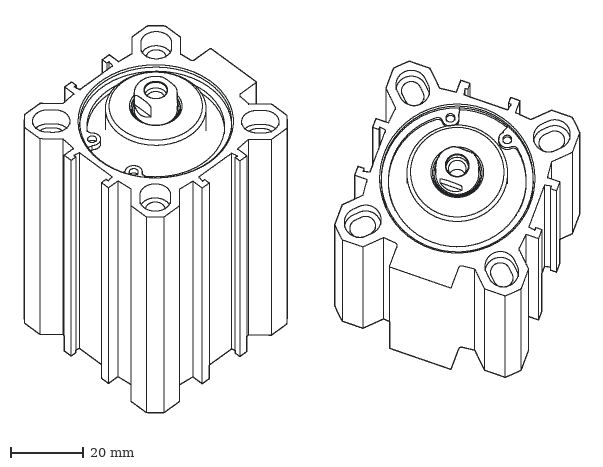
import cadquery as cq
import math

TOTAL_HEIGHT = 92.0
HOUSING_HEIGHT = 79.3

LUG_REACH = 27.5
LUG_FLAT_START = 17.9
LUG_FLAT_END = 24.0
LUG_ROOT = 13.4
WALL_AT_LUG = 23.0
WALL_AT_RIB = 23.5
RIB_REACH = 27.1
RIB_OVERLAP = 0.9
RIB_OUTER_SIDE = 8.7
RIB_ROOT_INNER_SIDE = 6.4
RIB_NECK_INNER_SIDE = 6.8
HOOK_INNER_SIDE = 6.0
HOOK_START = 25.3
PORT_HALF_WIDTH = 9.1
PORT_REACH = 30.45
PORT_ROOT_FILLET = 0.8
PORT_CORNER_FILLET = 0.3

BOLT_OFFSET = 20.5
BOLT_SLOT_STRETCH = 1.8
BOLT_HOLE_DIAMETER = 5.4
COUNTERBORE_DIAMETER = 8.6
COUNTERBORE_DEPTH = 5.7

BORE_DIAMETER = 42.2
BORE_CHAMFER = 0.5
RING_TOP_DEPTH = 2.1
RING_THICKNESS = 1.75
RING_OUTER_DIAMETER = 44.7
RING_INNER_DIAMETER = 38.3
RING_EAR_RADIUS = 2.4
RING_EAR_HOLE_DIAMETER = 2.5
RING_EAR_HOLE_DISTANCE = 18.3
RING_EAR_ANGLE = 27.6
RING_EAR_FILLET = 1.4
RING_TURN = -1.9
COVER_DEPTH = 11.0
BOSS_DIAMETER = 28.0
BOSS_TOP = 85.5
BOSS_CHAMFER = 1.0
BOSS_ROOT_FILLET = 0.8
ROD_HOLE_RECESS_DIAMETER = 13.7
ROD_HOLE_RECESS_CHAMFER = 0.5
ROD_HOLE_RECESS_DEPTH = 1.0
ROD_HOLE_CHAMFER = 0.5

ROD_DIAMETER = 12.0
ROD_TIP_FILLET = 1.3
FLATS_WIDTH = 10.0
FLATS_LENGTH = 4.6
TIP_RECESS_DIAMETER = 6.3
TIP_RECESS_DEPTH = 2.5
TIP_RECESS_CHAMFER = 0.2
TIP_HOLE_DIAMETER = 4.9
TIP_HOLE_DEPTH = 12.0
DRILL_POINT_ANGLE = 160.0

RING_TOP = HOUSING_HEIGHT - RING_TOP_DEPTH
COVER_TOP = RING_TOP - RING_THICKNESS
COVER_BOTTOM = COVER_TOP - COVER_DEPTH

SELECTION_MARGIN = 0.1


def disc(diameter, bottom, top):
    """Upright cylinder on the axis."""
    return cq.Workplane("XY").workplane(offset=bottom).circle(diameter / 2).extrude(top - bottom)


def cone_cutter(wide_diameter, narrow_diameter, top):
    """45-degree countersink cutter whose wide end is at the given level."""
    depth = (wide_diameter - narrow_diameter) / 2
    cone = cq.Solid.makeCone(narrow_diameter / 2, wide_diameter / 2, depth, cq.Vector(0, 0, top - depth))
    return cq.Workplane(obj=cone)


def edge_box(low, high):
    """Selector for the edges centred in a box, with a little play."""
    return cq.selectors.BoxSelector(
        tuple(value - SELECTION_MARGIN for value in low),
        tuple(value + SELECTION_MARGIN for value in high),
    )


def rotated(point, quarter_turns):
    """Point turned about the axis by a number of quarter turns."""
    x, y = point
    for _ in range(quarter_turns):
        x, y = -y, x
    return x, y


def core_section():
    """Square section with four diagonal corner lugs, without ribs and port block."""
    corner_middle = math.hypot(LUG_REACH, LUG_FLAT_END) / math.sqrt(2)
    outline = cq.Workplane("XY").moveTo(LUG_ROOT, -WALL_AT_LUG)
    quarter = [
        ("line", (LUG_FLAT_START, -LUG_REACH)),
        ("line", (LUG_FLAT_END, -LUG_REACH)),
        ("arc", (corner_middle, -corner_middle), (LUG_REACH, -LUG_FLAT_END)),
        ("line", (LUG_REACH, -LUG_FLAT_START)),
        ("line", (WALL_AT_LUG, -LUG_ROOT)),
        ("line", (WALL_AT_RIB, -RIB_OUTER_SIDE)),
        ("line", (WALL_AT_RIB, RIB_OUTER_SIDE)),
        ("line", (WALL_AT_LUG, LUG_ROOT)),
    ]
    for turn in range(4):
        for kind, *points in quarter:
            placed = [rotated(point, turn) for point in points]
            outline = outline.lineTo(*placed[0]) if kind == "line" else outline.threePointArc(*placed)
    return outline.close()


def hooked_rib():
    """Rib on the -Y side at +X, with its hook pointing to the middle of the side."""
    inside_wall = WALL_AT_LUG - RIB_OVERLAP
    return (
        cq.Workplane("XY")
        .polyline([
            (RIB_OUTER_SIDE, -inside_wall),
            (RIB_OUTER_SIDE, -RIB_REACH),
            (HOOK_INNER_SIDE, -RIB_REACH),
            (HOOK_INNER_SIDE, -HOOK_START),
            (RIB_NECK_INNER_SIDE, -HOOK_START),
            (RIB_ROOT_INNER_SIDE, -WALL_AT_RIB),
            (RIB_ROOT_INNER_SIDE, -inside_wall),
        ])
        .close()
        .extrude(HOUSING_HEIGHT)
    )


def diagonal_slots(diameter, bottom, top):
    """One slot cutter per lug, stretched along the lug's diagonal."""
    cutters = cq.Workplane("XY")
    for side_x in (-1, 1):
        for side_y in (-1, 1):
            slot = (
                cq.Workplane("XY")
                .workplane(offset=bottom)
                .center(side_x * BOLT_OFFSET, side_y * BOLT_OFFSET)
                .slot2D(diameter + BOLT_SLOT_STRETCH, diameter, 45 * side_x * side_y)
                .extrude(top - bottom)
            )
            cutters = cutters.add(slot)
    return cutters.combine()


def make_housing():
    body = core_section().extrude(HOUSING_HEIGHT)

    port_block = (
        cq.Workplane("XY")
        .box(2 * PORT_HALF_WIDTH, PORT_REACH, HOUSING_HEIGHT, centered=(True, False, False))
        .edges("|Z and >Y")
        .fillet(PORT_CORNER_FILLET)
    )
    body = body.union(port_block)
    root_edges = edge_box((-PORT_HALF_WIDTH, WALL_AT_LUG, 0), (PORT_HALF_WIDTH, WALL_AT_RIB, HOUSING_HEIGHT))
    body = body.edges("|Z").edges(root_edges).fillet(PORT_ROOT_FILLET)

    rib = hooked_rib()
    for rib_angle in (-90, 0, 90):
        body = body.union(rib.rotate((0, 0, 0), (0, 0, 1), rib_angle))
        body = body.union(rib.mirror("YZ").rotate((0, 0, 0), (0, 0, 1), rib_angle))

    body = body.cut(diagonal_slots(BOLT_HOLE_DIAMETER, 0, HOUSING_HEIGHT))
    body = body.cut(diagonal_slots(COUNTERBORE_DIAMETER, HOUSING_HEIGHT - COUNTERBORE_DEPTH, HOUSING_HEIGHT))

    body = body.cut(disc(BORE_DIAMETER, COVER_BOTTOM, HOUSING_HEIGHT))
    body = body.cut(cone_cutter(BORE_DIAMETER + 2 * BORE_CHAMFER, BORE_DIAMETER, HOUSING_HEIGHT))
    return body.cut(disc(RING_OUTER_DIAMETER, COVER_TOP, RING_TOP))


def make_retaining_ring():
    gap_half_angle = math.radians(RING_EAR_ANGLE) - math.asin(RING_EAR_RADIUS / RING_EAR_HOLE_DISTANCE)
    gap_length = RING_OUTER_DIAMETER
    gap_half_width = gap_length * math.tan(gap_half_angle)
    ear_x = RING_EAR_HOLE_DISTANCE * math.sin(math.radians(RING_EAR_ANGLE))
    ear_y = -RING_EAR_HOLE_DISTANCE * math.cos(math.radians(RING_EAR_ANGLE))
    ear_places = [(-ear_x, ear_y), (ear_x, ear_y)]

    level = cq.Workplane("XY").workplane(offset=COVER_TOP)
    gap = (
        level.polyline([(0, 0), (gap_half_width, -gap_length), (-gap_half_width, -gap_length)])
        .close()
        .extrude(RING_THICKNESS)
    )
    ring = disc(RING_OUTER_DIAMETER, COVER_TOP, RING_TOP).cut(disc(RING_INNER_DIAMETER, COVER_TOP, RING_TOP))
    ring = ring.cut(gap)
    ring = ring.union(level.pushPoints(ear_places).circle(RING_EAR_RADIUS).extrude(RING_THICKNESS))

    reach = RING_EAR_HOLE_DISTANCE
    corners = edge_box((-reach, ear_y, COVER_TOP), (reach, ear_y + RING_EAR_RADIUS, RING_TOP))
    ring = ring.edges("|Z").edges(corners).fillet(RING_EAR_FILLET)

    ring = ring.cut(level.pushPoints(ear_places).circle(RING_EAR_HOLE_DIAMETER / 2).extrude(RING_THICKNESS))
    return ring.rotate((0, 0, 0), (0, 0, 1), RING_TURN)


def make_cover():
    boss = disc(BOSS_DIAMETER, COVER_TOP, BOSS_TOP).faces(">Z").chamfer(BOSS_CHAMFER)
    cover = disc(BORE_DIAMETER, COVER_BOTTOM, COVER_TOP).union(boss)
    boss_radius = BOSS_DIAMETER / 2
    boss_root = edge_box((-boss_radius, -boss_radius, COVER_TOP), (boss_radius, boss_radius, COVER_TOP))
    smallest_circle = cq.selectors.RadiusNthSelector(0)
    cover = cover.edges(boss_root).edges(smallest_circle).fillet(BOSS_ROOT_FILLET)

    recess_bottom = BOSS_TOP - ROD_HOLE_RECESS_DEPTH
    recess_mouth = ROD_HOLE_RECESS_DIAMETER + 2 * ROD_HOLE_RECESS_CHAMFER
    cover = cover.cut(disc(ROD_DIAMETER, COVER_BOTTOM, BOSS_TOP))
    cover = cover.cut(disc(ROD_HOLE_RECESS_DIAMETER, recess_bottom, BOSS_TOP))
    cover = cover.cut(cone_cutter(recess_mouth, ROD_HOLE_RECESS_DIAMETER, BOSS_TOP))
    return cover.cut(cone_cutter(ROD_DIAMETER + 2 * ROD_HOLE_CHAMFER, ROD_DIAMETER, recess_bottom))


def flat_cutter():
    """Material outside the -Y wrench flat, ending below in a 45-degree slope."""
    flat_y = FLATS_WIDTH / 2
    flat_bottom = TOTAL_HEIGHT - FLATS_LENGTH
    beyond = ROD_DIAMETER
    return (
        cq.Workplane("YZ")
        .polyline([
            (-flat_y, TOTAL_HEIGHT),
            (-flat_y, flat_bottom),
            (-beyond, flat_bottom - (beyond - flat_y)),
            (-beyond, TOTAL_HEIGHT),
        ])
        .close()
        .extrude(ROD_DIAMETER, both=True)
    )


def make_rod():
    rod = disc(ROD_DIAMETER, COVER_BOTTOM, TOTAL_HEIGHT).faces(">Z").edges().fillet(ROD_TIP_FILLET)
    rod = rod.cut(flat_cutter()).cut(flat_cutter().mirror("XZ"))

    recess_bottom = TOTAL_HEIGHT - TIP_RECESS_DEPTH
    recess_mouth = TIP_RECESS_DIAMETER + 2 * TIP_RECESS_CHAMFER
    hole_bottom = TOTAL_HEIGHT - TIP_HOLE_DEPTH
    point_depth = TIP_HOLE_DIAMETER / 2 / math.tan(math.radians(DRILL_POINT_ANGLE / 2))
    point_tip = cq.Vector(0, 0, hole_bottom - point_depth)
    point = cq.Solid.makeCone(0, TIP_HOLE_DIAMETER / 2, point_depth, point_tip)
    rod = rod.cut(disc(TIP_HOLE_DIAMETER, hole_bottom, TOTAL_HEIGHT)).cut(cq.Workplane(obj=point))
    rod = rod.cut(disc(TIP_RECESS_DIAMETER, recess_bottom, TOTAL_HEIGHT))
    rod = rod.cut(cone_cutter(recess_mouth, TIP_RECESS_DIAMETER, TOTAL_HEIGHT))
    return rod.cut(cone_cutter(TIP_RECESS_DIAMETER, TIP_HOLE_DIAMETER, recess_bottom))


housing = make_housing()
retaining_ring = make_retaining_ring()
cover = make_cover()
rod = make_rod()

result = cq.Compound.makeCompound([housing.val(), retaining_ring.val(), cover.val(), rod.val()])